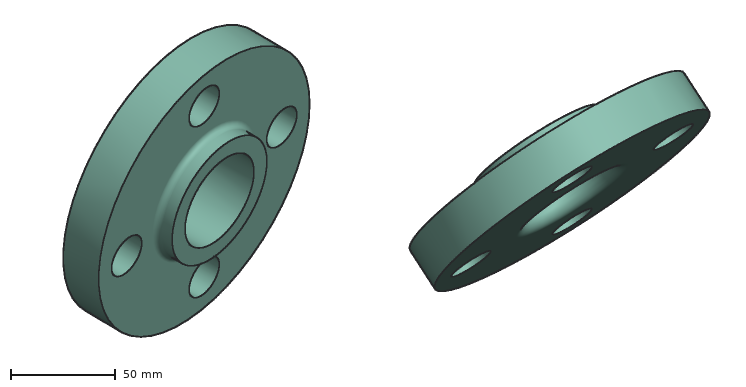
import cadquery as cq

flange_diameter = 155.575
flange_thickness = 22.225
overall_length = 31.75
hub_diameter = 69.85
hub_fillet_radius = 3.175
bore_diameter = 50.8
bore_lip_radius = 6.35
bolt_hole_diameter = 22.225
bolt_circle_diameter = 114.3
bolt_count = 4

flange_radius = flange_diameter / 2
hub_radius = hub_diameter / 2
bore_radius = bore_diameter / 2


def flange_body():
    """Plate and hub with a rounded bore lip and a filleted hub root, as one revolved section."""
    section = (
        cq.Workplane("XY")
        .moveTo(0, bore_radius + bore_lip_radius)
        .lineTo(0, flange_radius)
        .lineTo(flange_thickness, flange_radius)
        .lineTo(flange_thickness, hub_radius + hub_fillet_radius)
        .radiusArc((flange_thickness + hub_fillet_radius, hub_radius), -hub_fillet_radius)
        .lineTo(overall_length, hub_radius)
        .lineTo(overall_length, bore_radius)
        .lineTo(bore_lip_radius, bore_radius)
        .radiusArc((0, bore_radius + bore_lip_radius), bore_lip_radius)
        .close()
    )
    return section.revolve(360, (0, 0, 0), (1, 0, 0))


def bolt_holes():
    """Through holes evenly spaced on the bolt circle."""
    return (
        cq.Workplane("YZ")
        .polarArray(bolt_circle_diameter / 2, 0, 360, bolt_count)
        .circle(bolt_hole_diameter / 2)
        .extrude(flange_thickness)
    )


result = flange_body().cut(bolt_holes())